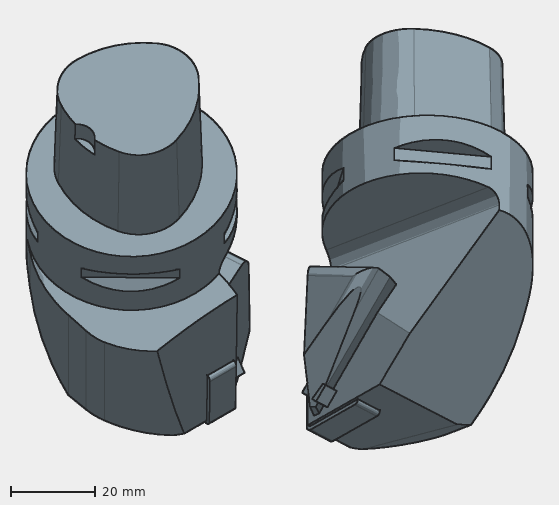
import cadquery as cq
import math

REACH = 180.0

SHANK_HEIGHT = 30.0
LOBE_ANGLES = (90, 210, 330)
HALF_PITCH = 60
LOBE_RADIUS = 12.0
LOBE_OFFSET = 6.7
FLANK_APEX = 16.4
TAPER_RATIO = 1 / 40
KEYWAY_RADIUS = 4.1
KEYWAY_CENTER_Y = -18.0
KEYWAY_DEPTH = 5.6

COLLAR_RADIUS = 50.0 / 2
COLLAR_HEIGHT = 20.9
GROOVE_Z = -10.2
GROOVE_FLOOR_DISTANCE = 22.1
GROOVE_FLOOR_HEIGHT = 3.4
GROOVE_WALL_ANGLE = 30.0
GROOVE_COUNT = 4
FIRST_GROOVE_ANGLE = 45

HEAD_FRONT_Y = -28.5
HEAD_FLAT_START_X = 7.7
HEAD_FLAT_END_X = 13.7
HEEL_RADIUS = 33.75
CORNER_RADIUS = 14.2
CORNER_SWEEP = 21.5
SIDE_RADIUS = 25.9
SIDE_END_ANGLE = 80.0
HEAD_WALL_Y = 5.0
HEAD_BOTTOM_Z = -67.5
SHOULDER_SLOPE = 0.28
BEVEL_TOP_Z = -22.0
BEVEL_ANGLE = 43.9
UNDERSIDE_FRONT_Z = -53.4
UNDERSIDE_SLOPE = 0.35

FLUTE_EDGE_Z = -16.0
FLUTE_ANGLE = 4.5
FLUTE_ARC_Y = 8.4

INSERT_NOSE = (35.2, 0.1, -60.1)
INSERT_ANGLE = 80.0
INSERT_EDGE = 16.2
INSERT_THICKNESS = 8.1
INSERT_NOSE_RADIUS = 1.2
INSERT_TILT = 7.2
HEAD_RELIEF = 1.0
HEAD_RISE = 0.8

CLAMP_PLAN = [(40.5, -13.5), (-14.7, -13.5), (29.25, -57.4), (40.5, -57.4)]
CLAMP_BASE_Y = 0.9
CLAMP_TOP_Y = 22.5
CLAMP_REAR_FACE = ((27.6, 5.0, -22.9), (-0.42, 0, 1))
CLAMP_TOP_FACE = ((4.5, 16.9, -32.7), (0.09, 1, -0.1))
CLAMP_RIGHT_FACE = ((27.6, 5.0, -23.4), (1, 0.4, 0.087))
CLAMP_RAMP_FACE = ((26.7, 12.0, -49.8), (-0.63, 0.77, -1))
CLAMP_TOE_FACE = ((6.0, 8.9, -34.2), (-1, -0.35, -0.94))
CLAMP_FILLET = 3.15
LUG_START = 7.65
LUG_LENGTH = 4.5
LUG_WIDTH = 5.8
LUG_HEIGHT = 4.95


def tool_plane():
    """Rake plane: x runs from the nose along the bisector of the corner, z leaves the rake face."""
    tilt = math.radians(INSERT_TILT)
    level = math.cos(tilt) / math.sqrt(2)
    drop = math.sin(tilt) / math.sqrt(2)
    return cq.Plane(
        origin=INSERT_NOSE,
        xDir=(-level, math.sin(tilt), level),
        normal=(drop, math.cos(tilt), -drop),
    )


def rhombus_prism(edge, tip, bottom, top):
    """Prism square to the rake plane, with the sharp corner of its rhombus at x = tip."""
    half = math.radians(INSERT_ANGLE / 2)
    along = edge * math.cos(half)
    across = edge * math.sin(half)
    points = [(tip, 0), (tip + along, -across), (tip + 2 * along, 0), (tip + along, across)]
    plane = cq.Workplane(tool_plane()).workplane(offset=bottom)
    return plane.polyline(points).close().extrude(top - bottom)


def make_insert():
    """Rhombic cutting plate with rounded corners."""
    blank = rhombus_prism(INSERT_EDGE, 0, -INSERT_THICKNESS, 0)
    along_thickness = cq.selectors.ParallelDirSelector(tool_plane().zDir)
    return blank.edges(along_thickness).fillet(INSERT_NOSE_RADIUS)


def polar(radius, degrees, center=(0, 0)):
    """Point at a radius and angle about a center; a negative radius lies on the opposite side."""
    turn = math.radians(degrees)
    return (center[0] + radius * math.cos(turn), center[1] + radius * math.sin(turn))


def make_shank():
    """Tapered shank whose outline alternates tight lobe arcs and wide flank arcs, all tangent."""
    gap = FLANK_APEX - LOBE_RADIUS
    back = (LOBE_OFFSET**2 - gap**2) / (2 * gap - LOBE_OFFSET)
    flank_radius = FLANK_APEX + back

    def joint(lobe_angle, flank_angle):
        """Point where a lobe arc and its neighboring flank arc meet."""
        flank_center = polar(-back, flank_angle)
        lobe_center = polar(LOBE_OFFSET, lobe_angle)
        toward = math.degrees(
            math.atan2(lobe_center[1] - flank_center[1], lobe_center[0] - flank_center[0])
        )
        return polar(flank_radius, toward, flank_center)

    outline = cq.Workplane("XY").moveTo(*joint(LOBE_ANGLES[0], LOBE_ANGLES[0] - HALF_PITCH))
    for lobe_angle in LOBE_ANGLES:
        flank_angle = lobe_angle + HALF_PITCH
        next_lobe_angle = flank_angle + HALF_PITCH
        lobe_apex = polar(LOBE_OFFSET + LOBE_RADIUS, lobe_angle)
        flank_apex = polar(FLANK_APEX, flank_angle)
        outline = outline.threePointArc(lobe_apex, joint(lobe_angle, flank_angle))
        outline = outline.threePointArc(flank_apex, joint(next_lobe_angle, flank_angle))
    shank = outline.close().extrude(SHANK_HEIGHT, taper=math.degrees(math.atan(TAPER_RATIO)))
    keyway = (
        cq.Workplane("XY", origin=(0, KEYWAY_CENTER_Y, SHANK_HEIGHT))
        .circle(KEYWAY_RADIUS)
        .extrude(-KEYWAY_DEPTH)
    )
    return shank.cut(keyway)


def make_groove(angle):
    """Trapezoidal groove cut straight across the rim of the collar."""
    depth = COLLAR_RADIUS - GROOVE_FLOOR_DISTANCE
    floor_half = GROOVE_FLOOR_HEIGHT / 2
    mouth_half = floor_half + depth * math.tan(math.radians(GROOVE_WALL_ANGLE))
    section = [
        (GROOVE_FLOOR_DISTANCE, GROOVE_Z - floor_half),
        (COLLAR_RADIUS, GROOVE_Z - mouth_half),
        (COLLAR_RADIUS, GROOVE_Z + mouth_half),
        (GROOVE_FLOOR_DISTANCE, GROOVE_Z + floor_half),
    ]
    groove = cq.Workplane("XZ").polyline(section).close().extrude(COLLAR_RADIUS, both=True)
    return groove.rotate((0, 0, 0), (0, 0, 1), angle)


def make_collar():
    """Round collar with evenly spaced gripper grooves."""
    collar = cq.Workplane("XY").circle(COLLAR_RADIUS).extrude(-COLLAR_HEIGHT)
    for index in range(GROOVE_COUNT):
        collar = collar.cut(make_groove(FIRST_GROOVE_ANGLE + index * 360 / GROOVE_COUNT))
    return collar


def make_flute():
    """Chip space behind the cutting side; its roof rises outward and rounds into the head wall."""
    outer_y = COLLAR_RADIUS
    slope = math.tan(math.radians(FLUTE_ANGLE))
    arc_start = (FLUTE_ARC_Y, FLUTE_EDGE_Z - slope * (outer_y - FLUTE_ARC_Y))
    return (
        cq.Workplane("YZ")
        .moveTo(HEAD_WALL_Y, HEAD_BOTTOM_Z)
        .lineTo(outer_y, HEAD_BOTTOM_Z)
        .lineTo(outer_y, FLUTE_EDGE_Z)
        .lineTo(*arc_start)
        .tangentArcPoint((HEAD_WALL_Y, -COLLAR_HEIGHT), relative=False)
        .close()
        .extrude(REACH, both=True)
    )


def head_prism():
    """Vertical prism: collar arc, tangent line, heel arc, front flat and two side arcs."""
    heel_center = (HEAD_FLAT_START_X, HEAD_FRONT_Y + HEEL_RADIUS)
    spread = math.hypot(*heel_center)
    tangent_angle = math.degrees(
        math.atan2(heel_center[1], heel_center[0])
        - math.acos((COLLAR_RADIUS - HEEL_RADIUS) / spread)
    )
    corner_center = (HEAD_FLAT_END_X, HEAD_FRONT_Y + CORNER_RADIUS)
    corner_end_angle = CORNER_SWEEP - 90
    corner_end = polar(CORNER_RADIUS, corner_end_angle, corner_center)
    side_center = polar(-SIDE_RADIUS, corner_end_angle, corner_end)
    side_end_angle = SIDE_END_ANGLE - 90
    side_end = polar(SIDE_RADIUS, side_end_angle, side_center)
    wall_x = -math.sqrt(COLLAR_RADIUS**2 - HEAD_WALL_Y**2)
    return (
        cq.Workplane("XY", origin=(0, 0, HEAD_BOTTOM_Z))
        .moveTo(wall_x, HEAD_WALL_Y)
        .threePointArc(polar(COLLAR_RADIUS, 180), polar(COLLAR_RADIUS, tangent_angle))
        .lineTo(*polar(HEEL_RADIUS, tangent_angle, heel_center))
        .threePointArc(
            polar(HEEL_RADIUS, (tangent_angle - 90) / 2, heel_center),
            (HEAD_FLAT_START_X, HEAD_FRONT_Y),
        )
        .lineTo(HEAD_FLAT_END_X, HEAD_FRONT_Y)
        .threePointArc(polar(CORNER_RADIUS, CORNER_SWEEP / 2 - 90, corner_center), corner_end)
        .threePointArc(
            polar(SIDE_RADIUS, (corner_end_angle + side_end_angle) / 2, side_center), side_end
        )
        .lineTo(REACH, side_end[1])
        .lineTo(REACH, HEAD_WALL_Y)
        .close()
        .extrude(-HEAD_BOTTOM_Z - COLLAR_HEIGHT)
    )


def shoulder_cone():
    """Space below the shoulder, which falls away conically outside the collar."""
    outer = 2 * COLLAR_RADIUS
    outer_z = -COLLAR_HEIGHT - SHOULDER_SLOPE * (outer - COLLAR_RADIUS)
    section = [
        (0, -COLLAR_HEIGHT),
        (COLLAR_RADIUS, -COLLAR_HEIGHT),
        (outer, outer_z),
        (outer, HEAD_BOTTOM_Z),
        (0, HEAD_BOTTOM_Z),
    ]
    return cq.Workplane("XZ").polyline(section).close().revolve(360, (0, 0, 0), (0, 1, 0))


def make_bevel():
    """Wedge removed from the underside, opposite the insert."""
    drop = BEVEL_TOP_Z - HEAD_BOTTOM_Z
    run = drop / math.tan(math.radians(BEVEL_ANGLE))
    section = [
        (-COLLAR_RADIUS, BEVEL_TOP_Z),
        (run - COLLAR_RADIUS, HEAD_BOTTOM_Z),
        (-COLLAR_RADIUS, HEAD_BOTTOM_Z),
    ]
    return cq.Workplane("XZ").polyline(section).close().extrude(REACH, both=True)


def make_underside_relief():
    """Wedge below the head that rises toward its front."""
    fall = UNDERSIDE_FRONT_Z - HEAD_BOTTOM_Z
    section = [
        (HEAD_FRONT_Y, UNDERSIDE_FRONT_Z),
        (HEAD_FRONT_Y, HEAD_BOTTOM_Z),
        (HEAD_FRONT_Y + fall / UNDERSIDE_SLOPE, HEAD_BOTTOM_Z),
    ]
    return cq.Workplane("YZ").polyline(section).close().extrude(REACH, both=True)


def relief_wedge(rise):
    """Space set back from the two cutting sides of the insert, up to a rise above the rake."""
    setback = HEAD_RELIEF / math.sin(math.radians(INSERT_ANGLE / 2))
    return rhombus_prism(REACH, setback, -REACH, rise)


def make_head():
    """Slanting head that carries the insert on its lower corner."""
    head = head_prism().intersect(shoulder_cone()).intersect(relief_wedge(HEAD_RISE))
    return head.cut(make_bevel()).cut(make_underside_relief())


def beyond(face):
    """Block on the outer side of a sloping face."""
    point, outward = face
    plane = cq.Plane(origin=point, normal=outward)
    return cq.Workplane(plane).rect(REACH, REACH).extrude(REACH)


def make_clamp():
    """Rounded block on the head wall with a ramp to the insert and a lug that bears on its face."""
    block = (
        cq.Workplane("XZ", origin=(0, CLAMP_BASE_Y, 0))
        .polyline(CLAMP_PLAN)
        .close()
        .extrude(CLAMP_BASE_Y - CLAMP_TOP_Y)
    )
    block = block.cut(beyond(CLAMP_REAR_FACE)).cut(beyond(CLAMP_TOP_FACE))
    top = block.faces(cq.selectors.DirectionMinMaxSelector(cq.Vector(CLAMP_TOP_FACE[1]), True))
    block = top.edges(">>X[0] or >>X[1]").fillet(CLAMP_FILLET)
    for face in (CLAMP_RIGHT_FACE, CLAMP_RAMP_FACE, CLAMP_TOE_FACE):
        block = block.cut(beyond(face))
    lug = (
        cq.Workplane(tool_plane())
        .center(LUG_START + LUG_LENGTH / 2, 0)
        .rect(LUG_LENGTH, LUG_WIDTH)
        .extrude(LUG_HEIGHT)
    )
    return block.intersect(relief_wedge(REACH)).union(lug)


def make_holder(insert):
    """Shank, collar, head and clamp in one piece, with the insert seat cut into the head."""
    holder = make_collar().cut(make_flute())
    holder = holder.union(make_shank()).union(make_head()).union(make_clamp())
    return holder.cut(insert)


insert = make_insert()
holder = make_holder(insert)
result = cq.Compound.makeCompound([holder.val(), insert.val()])